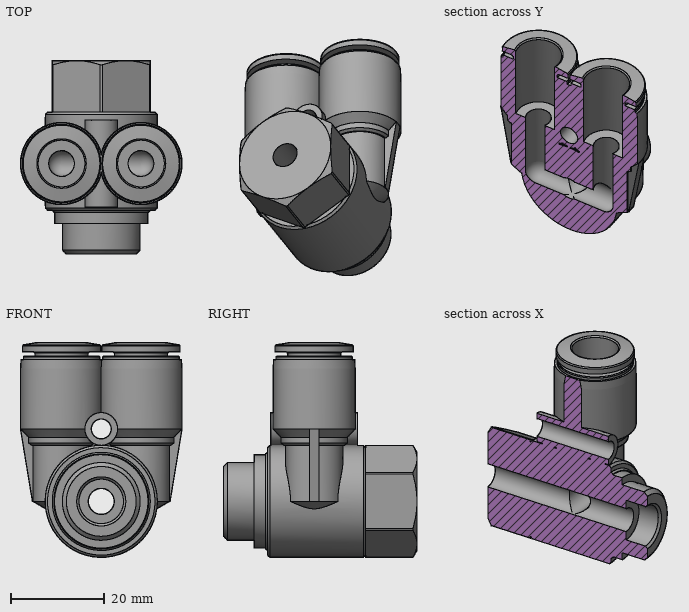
import cadquery as cq
import math

body_dia = 24.0
body_front_y = -10.0
body_back_y = 11.0
body_chamfer = 0.5

seat_dia = 20.0
seat_shoulder_dia = 21.0
seat_bevel_dia = 20.3
seat_bevel_y = -10.45
seat_front_y = -12.85
thread_dia = 16.66
thread_tip_dia = 14.95
spigot_front_y = -19.4
port_dia = 9.52
port_chamfer = 0.5
port_depth = 5.5
passage_dia = 5.5

hex_across_flats = 21.0
hex_back_y = 22.0
hex_bevel_angle = 30.0
hex_half_sector = 30.0

tower_x = 8.5
tower_dia = 17.6
tower_rim_dia = 17.4
tower_base_z = 15.5
tower_taper_z = 28.4
tower_rim_z = 30.35
collar_dia = 16.4
collar_top_z = 31.1
collar_chamfer = 0.2
ring_dia = 14.2
ring_top_z = 13.7
ring_bottom_z = 12.45
ring_foot_dia = 12.9
ring_foot_z = 12.0
stem_dia = 12.3
stem_tip_angle = 30.0

neck_dia = 11.4
neck_flare = 0.3
button_dia = 16.8
button_bottom_z = 32.0
button_rim_dia = 16.4
button_rim_height = 0.3
button_edge_z = 33.5
button_top_z = 34.0
tube_dia = 10.0
tube_chamfer = 0.3

eye_dia = 7.0
eye_hole_dia = 4.2
eye_length = 18.6
eye_z = (body_dia + eye_dia) / 2

rib_width = 2.1
rib_foot_overhang = 0.1
rib_foot_x = tower_x + stem_dia / 2 + rib_foot_overhang
rib_top_x = tower_x + tower_dia / 2


def turned_on_y(profile):
    """Solid of revolution about Y from (radius, y) points."""
    return cq.Workplane("XY").polyline(profile).close().revolve(360, (0, 0, 0), (0, 1, 0))


def turned_on_z(profile):
    """Solid of revolution about Z from (radius, z) points."""
    return cq.Workplane("XZ").polyline(profile).close().revolve(360, (0, 0, 0), (0, 1, 0))


def cylinder_on_y(diameter, y_start, y_end, z=0.0):
    rod = cq.Workplane("XZ", origin=(0, y_start, z)).circle(diameter / 2)
    return rod.extrude(y_start - y_end)


def banjo_body():
    body_r = body_dia / 2
    seat_r = seat_dia / 2
    thread_r = thread_dia / 2
    tip_r = thread_tip_dia / 2
    return turned_on_y([
        (0, body_back_y),
        (body_r - body_chamfer, body_back_y),
        (body_r, body_back_y - body_chamfer),
        (body_r, body_front_y + body_chamfer),
        (body_r - body_chamfer, body_front_y),
        (seat_shoulder_dia / 2, body_front_y),
        (seat_bevel_dia / 2, seat_bevel_y),
        (seat_r, seat_bevel_y),
        (seat_r, seat_front_y),
        (thread_r, seat_front_y),
        (thread_r, spigot_front_y + thread_r - tip_r),
        (tip_r, spigot_front_y),
        (0, spigot_front_y),
    ])


def hexagon():
    """Hexagon with flats facing +/-X, corners trimmed to the body diameter, bevelled at the back."""
    corner_dia = hex_across_flats / math.cos(math.radians(hex_half_sector))
    prism = cq.Workplane("XZ", origin=(0, body_back_y, 0)).transformed(rotate=(0, 0, hex_half_sector))
    prism = prism.polygon(6, corner_dia).extrude(body_back_y - hex_back_y)
    outer_r = body_dia / 2
    flat_r = hex_across_flats / 2
    bevel = (outer_r - flat_r) * math.tan(math.radians(hex_bevel_angle))
    envelope = turned_on_y([
        (0, body_back_y),
        (outer_r, body_back_y),
        (outer_r, hex_back_y - bevel),
        (flat_r, hex_back_y),
        (0, hex_back_y),
    ])
    return prism.intersect(envelope)


def tower():
    stem_r = stem_dia / 2
    tip_depth = stem_r * math.tan(math.radians(stem_tip_angle))
    collar_r = collar_dia / 2
    neck_r = neck_dia / 2
    button_r = button_dia / 2
    return turned_on_z([
        (0, -tip_depth),
        (stem_r, 0),
        (stem_r, ring_foot_z),
        (ring_foot_dia / 2, ring_foot_z),
        (ring_dia / 2, ring_bottom_z),
        (ring_dia / 2, ring_top_z),
        (tower_dia / 2, tower_base_z),
        (tower_dia / 2, tower_taper_z),
        (tower_rim_dia / 2, tower_rim_z),
        (collar_r, tower_rim_z),
        (collar_r, collar_top_z - collar_chamfer),
        (collar_r - collar_chamfer, collar_top_z),
        (neck_r, collar_top_z),
        (neck_r, button_bottom_z - neck_flare),
        (neck_r + neck_flare, button_bottom_z),
        (button_r, button_bottom_z),
        (button_r, button_edge_z - button_rim_height),
        (button_rim_dia / 2, button_edge_z),
        (tube_dia / 2 + tube_chamfer, button_top_z),
        (0, button_top_z),
    ])


def rib():
    """Tapered rib on the +X side of the stem, in the tower's own plane."""
    outline = [(tower_x, 0), (rib_foot_x, 0), (rib_top_x, tower_base_z), (tower_x, tower_base_z)]
    return cq.Workplane("XZ").polyline(outline).close().extrude(rib_width / 2, both=True)


def web():
    """Wall joining the two stems and closing the gap between the eye and the banjo body."""
    return cq.Workplane("XY").box(2 * tower_x, rib_width, tower_base_z, centered=(True, True, False))


def port_bore():
    port_r = port_dia / 2
    passage_r = passage_dia / 2
    port_floor_y = spigot_front_y + port_depth
    return turned_on_y([
        (0, spigot_front_y),
        (port_r + port_chamfer, spigot_front_y),
        (port_r, spigot_front_y + port_chamfer),
        (port_r, port_floor_y),
        (passage_r, port_floor_y),
        (passage_r, hex_back_y),
        (0, hex_back_y),
    ])


def tower_bore():
    """Tube socket, passage below it, and a ball-ended turn at the main axis height."""
    tube_r = tube_dia / 2
    passage_r = passage_dia / 2
    socket = turned_on_z([
        (0, button_top_z),
        (tube_r + tube_chamfer, button_top_z),
        (tube_r, button_top_z - tube_chamfer),
        (tube_r, tower_base_z),
        (passage_r, tower_base_z),
        (passage_r, 0),
        (0, 0),
    ])
    return socket.union(cq.Workplane("XY").sphere(passage_r))


def cross_passage():
    rod = cq.Workplane("YZ", origin=(-tower_x, 0, 0)).circle(passage_dia / 2)
    return rod.extrude(2 * tower_x)


solid = banjo_body().union(hexagon())
for side in (-1, 1):
    solid = solid.union(tower().translate((side * tower_x, 0, 0)))
solid = solid.union(rib()).union(rib().mirror("YZ")).union(web())
solid = solid.union(cylinder_on_y(eye_dia, -eye_length / 2, eye_length / 2, eye_z))

solid = solid.cut(cylinder_on_y(eye_hole_dia, -eye_length / 2, eye_length / 2, eye_z))
for side in (-1, 1):
    solid = solid.cut(tower_bore().translate((side * tower_x, 0, 0)))
solid = solid.cut(cross_passage())
result = solid.cut(port_bore()).solids()